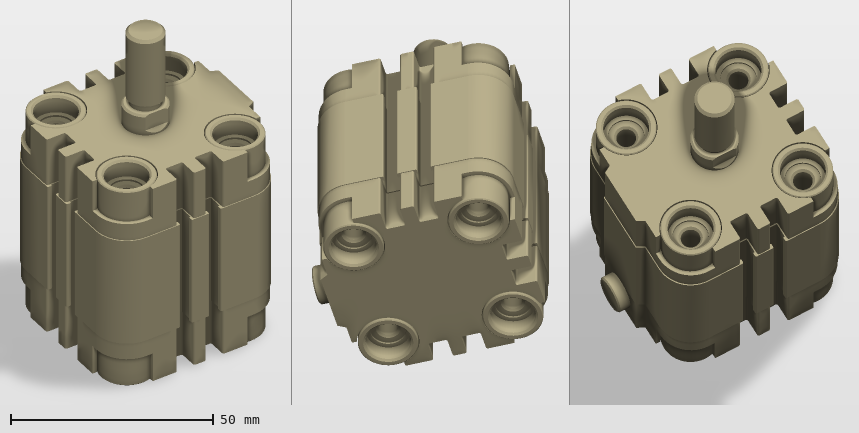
import cadquery as cq
import math

overall_height = 87.5
boss_height = 9.0
bottom_cap_base = 0.5
tube_base = 14.0
tube_top = 45.5
housing_top = 59.5

tube_width = 50.0
cap_inset = 0.22
corner_radius = 9.0
ridge_height = 2.0
ridge_base_width = 18.2
ridge_top_width = 15.9
tube_half = tube_width / 2

slot_offset = 4.3
slot_side_angles = (0, 90, -90)
cap_slot_width = 5.0
cap_slot_depth = 5.4
cap_slot_radius = 0.5
tube_slot_mouth_width = 3.4
tube_slot_width = 4.4
tube_slot_depth = 5.3
tube_slot_lip = 1.3
tube_slot_radius = 0.35

boss_pitch = 32.0
boss_diameter = 15.05
boss_pocket_diameter = 15.5
boss_chamfer = 0.3
corner_relief_start = 14.0
socket_mouth_diameter = 12.4
socket_diameter = 11.4
socket_depth = 4.9
seat_diameter = 9.0
seat_depth = 0.5
screw_hole_mouth_diameter = 6.0
screw_hole_diameter = 4.9

overall_depth = 54.95
plug_diameter = 9.7
plug_chamfer = 0.39
plug_height = 8.1

collar_diameter = 12.0
collar_top = 65.5
collar_chamfer = 0.5
neck_diameter = 8.5
thread_base = 67.55
thread_diameter = 10.0
tip_chamfer = 0.74
flat_width = 10.0
flat_base = 61.0

boss_places = [(x * boss_pitch / 2, y * boss_pitch / 2) for x in (-1, 1) for y in (-1, 1)]


def vertical_cylinder(diameter, base, top):
    return cq.Workplane("XY").workplane(offset=base).circle(diameter / 2).extrude(top - base)


def housing_section(inset, base, top):
    """Rounded square with a trapezoidal ridge on +Y, drawn in from the tube outline by the inset."""
    half = tube_half - inset
    height = top - base
    square = (
        cq.Workplane("XY").workplane(offset=base)
        .rect(2 * half, 2 * half)
        .extrude(height)
        .edges("|Z")
        .fillet(corner_radius)
    )
    base_half = ridge_base_width / 2 - inset
    top_half = ridge_top_width / 2 - inset
    ridge = (
        cq.Workplane("XY").workplane(offset=base)
        .polyline([(-base_half, 0), (-base_half, half), (-top_half, half + ridge_height),
                   (top_half, half + ridge_height), (base_half, half), (base_half, 0)])
        .close()
        .extrude(height)
    )
    return square.union(ridge)


def rounded_slot(face_y, base, top):
    """Cutter for a slot through the face y = face_y, with rounded mouth edges and floor corners."""
    half = cap_slot_width / 2
    radius = cap_slot_radius
    floor_y = face_y + cap_slot_depth
    return (
        cq.Workplane("XY").workplane(offset=base)
        .moveTo(-half - radius, face_y)
        .radiusArc((-half, face_y + radius), -radius)
        .lineTo(-half, floor_y - radius)
        .radiusArc((-half + radius, floor_y), radius)
        .lineTo(half - radius, floor_y)
        .radiusArc((half, floor_y - radius), radius)
        .lineTo(half, face_y + radius)
        .radiusArc((half + radius, face_y), -radius)
        .close()
        .extrude(top - base)
    )


def lipped_slot(face_y, base, top):
    """Cutter for a T-slot through the face y = face_y, with rounded mouth edges."""
    mouth = tube_slot_mouth_width / 2
    half = tube_slot_width / 2
    radius = tube_slot_radius
    lip_y = face_y + tube_slot_lip
    floor_y = face_y + tube_slot_depth
    return (
        cq.Workplane("XY").workplane(offset=base)
        .moveTo(-mouth - radius, face_y)
        .radiusArc((-mouth, face_y + radius), -radius)
        .lineTo(-mouth, lip_y)
        .lineTo(-half, lip_y)
        .lineTo(-half, floor_y)
        .lineTo(half, floor_y)
        .lineTo(half, lip_y)
        .lineTo(mouth, lip_y)
        .lineTo(mouth, face_y + radius)
        .radiusArc((mouth + radius, face_y), -radius)
        .close()
        .extrude(top - base)
    )


def cut_slot_pairs(section, slot):
    for angle in slot_side_angles:
        for x in (-slot_offset, slot_offset):
            cutter = slot.translate((x, 0, 0)).rotate((0, 0, 0), (0, 0, 1), angle)
            section = section.cut(cutter)
    return section


def make_tube():
    tube = housing_section(0, tube_base, tube_top)
    return cut_slot_pairs(tube, lipped_slot(-tube_half, tube_base, tube_top))


def make_cap(base, top, boss_base):
    """End cap with its four corners cut back around a chamfered boss in a slightly wider round pocket."""
    boss_top = boss_base + boss_height
    cap = housing_section(cap_inset, base, top)
    cap = cut_slot_pairs(cap, rounded_slot(cap_inset - tube_half, base, top))

    relief_size = tube_half - corner_relief_start
    relief_center = corner_relief_start + relief_size / 2
    pocket = vertical_cylinder(boss_pocket_diameter, boss_base, boss_top)
    boss = vertical_cylinder(boss_diameter, boss_base, boss_top).faces("<Z or >Z").chamfer(boss_chamfer)
    root = vertical_cylinder(boss_diameter, boss_base, boss_top)
    root = root.intersect(boss.union(vertical_cylinder(boss_diameter, boss_base + boss_chamfer, boss_top)
                                     if boss_base < base else
                                     vertical_cylinder(boss_diameter, boss_base, boss_top - boss_chamfer)))
    for x, y in boss_places:
        relief = (
            cq.Workplane("XY").workplane(offset=boss_base)
            .center(math.copysign(relief_center, x), math.copysign(relief_center, y))
            .rect(relief_size, relief_size)
            .extrude(boss_height)
        )
        cap = cap.cut(relief).cut(pocket.translate((x, y, 0)))
        cap = cap.union(root.translate((x, y, 0)))
    return cap


def screw_hole_cutter():
    """Stepped screw hole on the Z axis, with a socket at each end."""
    mouth_chamfer = (socket_mouth_diameter - socket_diameter) / 2
    hole_chamfer = (screw_hole_mouth_diameter - screw_hole_diameter) / 2
    seat_level = socket_depth + seat_depth
    half_profile = [
        (socket_mouth_diameter / 2, 0),
        (socket_diameter / 2, mouth_chamfer),
        (socket_diameter / 2, socket_depth),
        (seat_diameter / 2, socket_depth),
        (seat_diameter / 2, seat_level),
        (screw_hole_mouth_diameter / 2, seat_level),
        (screw_hole_diameter / 2, seat_level + hole_chamfer),
    ]
    upper_end = [(radius, housing_top - depth) for radius, depth in reversed(half_profile)]
    profile = [(0, 0)] + half_profile + upper_end + [(0, housing_top)]
    return cq.Workplane("XZ").polyline(profile).close().revolve(360, (0, 0, 0), (0, 1, 0))


def make_plug():
    """Round plug standing out of the bottom cap's ridge in the +Y direction."""
    plug_end = overall_depth - tube_half
    return (
        cq.Workplane("XZ", origin=(0, tube_half, plug_height))
        .circle(plug_diameter / 2)
        .extrude(tube_half - plug_end)
        .faces(">Y")
        .chamfer(plug_chamfer)
    )


def make_housing():
    housing = make_tube()
    housing = housing.union(make_cap(bottom_cap_base, tube_base, 0))
    housing = housing.union(make_cap(tube_top, housing_top, housing_top - boss_height))
    housing = housing.union(make_plug())
    screw_hole = screw_hole_cutter()
    for x, y in boss_places:
        housing = housing.cut(screw_hole.translate((x, y, 0)))
    return housing


def wrench_flat_cutter():
    """Cutter for the flat on +X of the collar, with a 45 degree run-out at its base."""
    flat_x = flat_width / 2
    reach = collar_diameter / 2
    run_out = reach - flat_x
    return (
        cq.Workplane("XZ")
        .polyline([(flat_x, flat_base), (reach, flat_base - run_out), (reach, collar_top), (flat_x, collar_top)])
        .close()
        .extrude(collar_diameter / 2, both=True)
    )


def make_piston_rod():
    """Rod standing on the top face of the housing: collar with two flats, neck and threaded end."""
    collar = vertical_cylinder(collar_diameter, housing_top, collar_top).faces(">Z").chamfer(collar_chamfer)
    flat = wrench_flat_cutter()
    collar = collar.cut(flat).cut(flat.mirror("YZ"))
    neck = vertical_cylinder(neck_diameter, collar_top, thread_base)
    thread = vertical_cylinder(thread_diameter, thread_base, overall_height).faces(">Z").chamfer(tip_chamfer)
    return collar.union(neck).union(thread)


housing = make_housing()
piston_rod = make_piston_rod()
result = cq.Compound.makeCompound([housing.solids().val(), piston_rod.solids().val()])